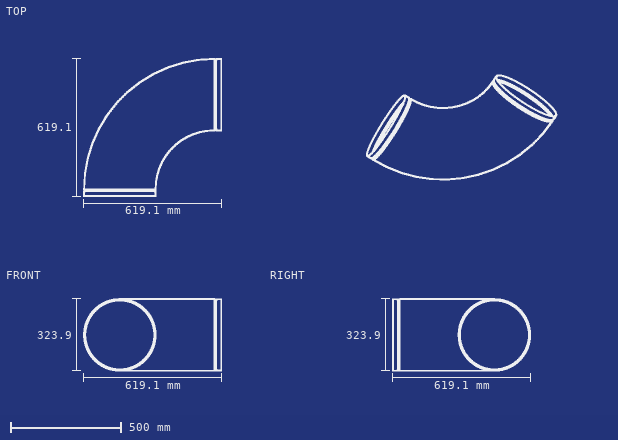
import cadquery as cq
import math


outer_radius = 323.85 / 2
inner_radius = 317.86 / 2

groove_radius = 315.98 / 2
bead_radius = 309.98 / 2
seat_length = 19.05
groove_width = 7.14
lip_round = 3.0

centre_to_end = 457.2
straight_length = 31.75
bend_radius = centre_to_end - straight_length
bend_angle = 90

lip_end = seat_length + lip_round
floor_end = seat_length + groove_width
flank_round = (outer_radius - groove_radius) / 2
flank_middle = floor_end + flank_round
flank_end = flank_middle + flank_round
bead_round = (inner_radius - bead_radius) / 2
bead_middle = seat_length + bead_round
bead_start = bead_middle + bead_round
bead_end = flank_middle


def quarter_arc(outline, start, end, leaves_axially):
    """Draw a quarter arc between two (radius, height) points, leaving along or across the axis."""
    far_share = math.sin(math.radians(45))
    near_share = 1 - far_share
    radial_share, axial_share = (near_share, far_share) if leaves_axially else (far_share, near_share)
    middle = (
        start[0] + radial_share * (end[0] - start[0]),
        start[1] + axial_share * (end[1] - start[1]),
    )
    return outline.threePointArc(middle, end)


def flank(outline, start, middle, end):
    """Draw an S-shaped flank: two quarter arcs that meet square to the pipe axis."""
    outline = quarter_arc(outline, start, middle, True)
    return quarter_arc(outline, middle, end, False)


def grooved_stub():
    """Straight pipe stub along +Y, with its mouth at Y = 0."""
    lip_start = (outer_radius, seat_length)
    lip_corner = (outer_radius - lip_round, lip_end)
    floor_corner = (groove_radius, floor_end)
    outline = cq.Workplane("XY").moveTo(inner_radius, 0).lineTo(outer_radius, 0).lineTo(*lip_start)
    outline = quarter_arc(outline, lip_start, lip_corner, True)
    outline = outline.lineTo(groove_radius, lip_end).lineTo(*floor_corner)
    outline = flank(
        outline,
        floor_corner,
        (groove_radius + flank_round, flank_middle),
        (outer_radius, flank_end),
    )

    outline = outline.lineTo(outer_radius, straight_length).lineTo(inner_radius, straight_length)
    bead_corner = (bead_radius, bead_start)
    outline = outline.lineTo(bead_radius, bead_end).lineTo(*bead_corner)
    outline = flank(
        outline,
        bead_corner,
        (bead_radius + bead_round, bead_middle),
        (inner_radius, seat_length),
    )
    return outline.close().revolve(360, (0, 0, 0), (0, 1, 0))


def bend():
    """Quarter-torus pipe joining the inner ends of the two stubs."""
    start = cq.Workplane("XZ", origin=(0, straight_length, 0))
    section = start.circle(outer_radius).circle(inner_radius)
    return section.revolve(bend_angle, (bend_radius, 0, 0), (bend_radius, -1, 0))


front_stub = grooved_stub()
side_stub = (
    grooved_stub()
    .rotate((0, 0, 0), (0, 0, 1), bend_angle)
    .translate((centre_to_end, centre_to_end, 0))
)

result = front_stub.union(bend()).union(side_stub)